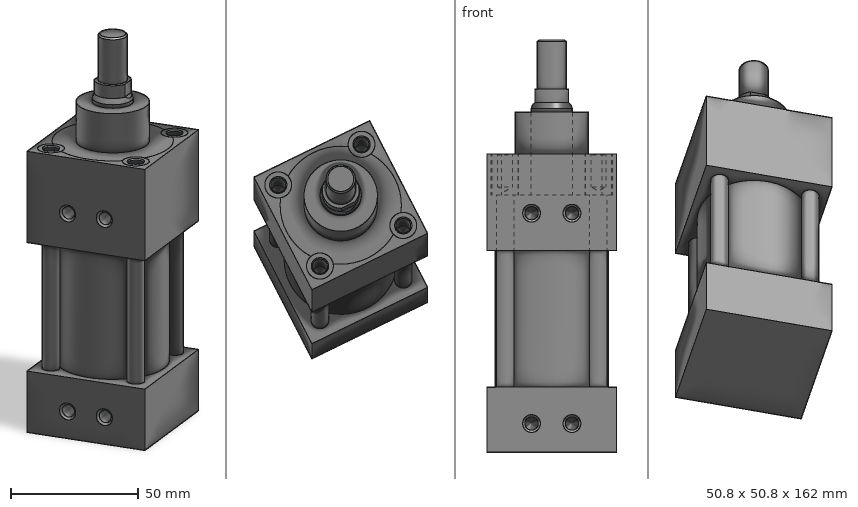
import cadquery as cq
import math


base_top = 25.6
head_bottom = 79.2
head_top = 117.2
collar_top = 133.6
rod_land_top = 135.0
shoulder_bottom = 137.3
shoulder_top = 142.7
rod_top = 162.0

block_width = 50.8
barrel_diameter = 44.5

tie_rod_offset = 18.3
tie_rod_diameter = 7.0
tie_rod_head_diameter = 10.5
tie_rod_head_depth = 16.2
tie_rod_centres = [
    (x, y)
    for x in (-tie_rod_offset, tie_rod_offset)
    for y in (-tie_rod_offset, tie_rod_offset)
]

gland_diameter = 47.6
gland_depth = tie_rod_head_depth
gland_bottom = head_top - gland_depth
collar_diameter = 28.8

rod_diameter = 16.2
shoulder_diameter = 14.5
shoulder_flat_width = 13.3
tip_diameter = 11.5
tip_chamfer = 0.6

drill_half_angle = 59.0
mount_hole_diameter = 5.8
mount_mouth_diameter = 6.8
mount_hole_depth = 13.0
port_diameter = 5.2
port_mouth_diameter = 7.0
port_depth = 12.1
port_offset = 8.0
base_port_height = 11.3
head_port_height = 94.0


def cylinder(diameter, bottom, top):
    """Upright cylinder on the Z axis."""
    return cq.Workplane("XY").workplane(offset=bottom).circle(diameter / 2).extrude(top - bottom)


def block(bottom, top):
    """Square block centred on the Z axis."""
    return cq.Workplane("XY").workplane(offset=bottom).rect(block_width, block_width).extrude(top - bottom)


def drilled_hole(diameter, mouth_diameter, depth):
    """Cutter for a blind hole running down from the origin, with a 45 degree mouth and a drill point."""
    radius = diameter / 2
    mouth_radius = mouth_diameter / 2
    point_depth = radius / math.tan(math.radians(drill_half_angle))
    profile = (
        cq.Workplane("XZ")
        .moveTo(0, 0)
        .lineTo(mouth_radius, 0)
        .lineTo(radius, radius - mouth_radius)
        .lineTo(radius, -depth)
        .lineTo(0, -depth - point_depth)
        .close()
    )
    return profile.revolve(360, (0, 0, 0), (0, 1, 0))


def tie_rods():
    """The four tie rods, from the base up through the head block."""
    head_underside = head_top - tie_rod_head_depth
    shank = cylinder(tie_rod_diameter, base_top, head_underside)
    rod_head = cylinder(tie_rod_head_diameter, head_underside, head_top)
    rod = shank.union(rod_head)
    rods = cq.Workplane("XY")
    for x, y in tie_rod_centres:
        rods = rods.add(rod.translate((x, y, 0)))
    return rods


def cut_ports(body, height):
    """Cut the pair of ports into the -Y side."""
    port = drilled_hole(port_diameter, port_mouth_diameter, port_depth).rotate((0, 0, 0), (1, 0, 0), 90)
    for x in (-port_offset, port_offset):
        body = body.cut(port.translate((x, -block_width / 2, height)))
    return body


def make_frame():
    """Base block, barrel and tie rods in one piece, with mounting holes in the tie-rod heads."""
    frame = block(0, base_top).union(cylinder(barrel_diameter, base_top, head_bottom))
    for rod in tie_rods().vals():
        frame = frame.union(cq.Workplane(rod))
    mount_hole = drilled_hole(mount_hole_diameter, mount_mouth_diameter, mount_hole_depth)
    for x, y in tie_rod_centres:
        frame = frame.cut(mount_hole.translate((x, y, head_top)))
    return cut_ports(frame, base_port_height)


def make_gland():
    """Disc and collar, bored for the piston rod and notched around the tie-rod heads."""
    gland = cylinder(gland_diameter, gland_bottom, head_top)
    gland = gland.union(cylinder(collar_diameter, head_top, collar_top))
    gland = gland.cut(cylinder(rod_diameter, gland_bottom, collar_top))
    for x, y in tie_rod_centres:
        rod_head = cylinder(tie_rod_head_diameter, gland_bottom, head_top)
        gland = gland.cut(rod_head.translate((x, y, 0)))
    return gland


def make_head():
    """Head block with a recess for the gland and stepped holes for the tie rods."""
    head = block(head_bottom, head_top).cut(cylinder(gland_diameter, gland_bottom, head_top))
    for rod in tie_rods().vals():
        head = head.cut(cq.Workplane(rod))
    return cut_ports(head, head_port_height)


def wrench_flat_cutter(side):
    """Cutter for the flat on one side (-1 or 1), whose floor falls outward at 45 degrees."""
    flat_x = shoulder_flat_width / 2
    outer_x = rod_diameter / 2
    floor_drop = outer_x - flat_x
    return (
        cq.Workplane("XZ")
        .moveTo(side * flat_x, shoulder_top)
        .lineTo(side * flat_x, shoulder_bottom)
        .lineTo(side * outer_x, shoulder_bottom - floor_drop)
        .lineTo(side * outer_x, shoulder_top)
        .close()
        .extrude(rod_diameter / 2, both=True)
    )


def make_piston_rod():
    """Stepped rod with a tapered neck and two wrench flats on the shoulder."""
    land_radius = rod_diameter / 2
    shoulder_radius = shoulder_diameter / 2
    tip_radius = tip_diameter / 2
    profile = (
        cq.Workplane("XZ")
        .moveTo(0, gland_bottom)
        .lineTo(land_radius, gland_bottom)
        .lineTo(land_radius, rod_land_top)
        .lineTo(shoulder_radius, shoulder_bottom)
        .lineTo(shoulder_radius, shoulder_top)
        .lineTo(tip_radius, shoulder_top)
        .lineTo(tip_radius, rod_top - tip_chamfer)
        .lineTo(tip_radius - tip_chamfer, rod_top)
        .lineTo(0, rod_top)
        .close()
    )
    rod = profile.revolve(360, (0, 0, 0), (0, 1, 0))
    for side in (-1, 1):
        rod = rod.cut(wrench_flat_cutter(side))
    return rod


frame = make_frame()
head = make_head()
gland = make_gland()
piston_rod = make_piston_rod()

result = cq.Compound.makeCompound([frame.val(), head.val(), gland.val(), piston_rod.val()])